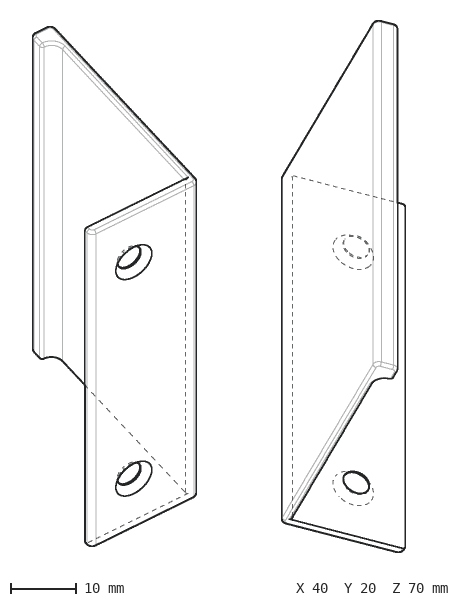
import cadquery as cq
import math

width = 40.0
depth = 20.0
height = 70.0

wall = 1.5
lip_width = 3.0
outer_radius = 1.0
lip_tip_radius = 0.5
lip_root_radius = 2.0
lip_depth = wall + lip_root_radius + lip_tip_radius

end_radius = 0.5

hole_diameter = 4.3
countersink_depth = 1.2
countersink_angle = 90
hole_spacing = 48.0
hole_to_back = (lip_depth + depth) / 2

left = -width / 2
right = width / 2
back = depth / 2
front = -depth / 2

leg_inner = right - wall
web_inner = back - wall
lip_front = back - lip_depth
lip_inner = left + lip_width
diagonal = math.sqrt(0.5)


def round_corner(outline, center, radius, towards_x, towards_y, end):
    """Add a quarter arc bulging from its center towards the given signs, up to the end point."""
    middle = (
        center[0] + towards_x * radius * diagonal,
        center[1] + towards_y * radius * diagonal,
    )
    return outline.threePointArc(middle, end)


def make_profile():
    """Closed outline of the cross-section, clockwise from the back of the left face."""
    r = outer_radius
    tip = lip_tip_radius
    root = lip_root_radius

    outline = cq.Workplane("XY").workplane(offset=-height / 2).moveTo(left, back - r)
    outline = round_corner(outline, (left + r, back - r), r, -1, 1, (left + r, back))
    outline = outline.lineTo(right - r, back)
    outline = round_corner(outline, (right - r, back - r), r, 1, 1, (right, back - r))
    outline = outline.lineTo(right, front + r)
    outline = round_corner(outline, (right - r, front + r), r, 1, -1, (right - r, front))
    outline = outline.lineTo(leg_inner, front).lineTo(leg_inner, web_inner)

    outline = outline.lineTo(lip_inner + root, web_inner)
    root_center = (lip_inner + root, web_inner - root)
    outline = round_corner(outline, root_center, root, -1, 1, (lip_inner, web_inner - root))
    tip_center = (lip_inner - tip, lip_front + tip)
    outline = round_corner(outline, tip_center, tip, 1, -1, (lip_inner - tip, lip_front))
    outline = outline.lineTo(left + r, lip_front)
    outline = round_corner(outline, (left + r, lip_front + r), r, -1, -1, (left, lip_front + r))
    return outline.close()


def round_ends(body):
    """Round every end edge except the one along the inner face of the leg."""
    margin = wall / 10
    leg_edges = cq.selectors.BoxSelector(
        (leg_inner - margin, front, -height),
        (leg_inner + margin, web_inner, height),
    )
    other_edges = cq.selectors.InverseSelector(leg_edges)
    end_edges = body.faces("<Z or >Z").edges(other_edges)
    return end_edges.fillet(end_radius)


def cut_holes(body):
    """Two round holes along X through the leg, countersunk from its right face."""
    countersink_slope = math.tan(math.radians(countersink_angle / 2))
    countersink_diameter = hole_diameter + 2 * countersink_depth * countersink_slope
    centers = [(back - hole_to_back, side * hole_spacing / 2) for side in (-1, 1)]
    return (
        body.copyWorkplane(cq.Workplane("YZ", origin=(right, 0, 0)))
        .pushPoints(centers)
        .cskHole(hole_diameter, countersink_diameter, countersink_angle, depth=2 * wall)
    )


body = make_profile().extrude(height)
result = cut_holes(round_ends(body))